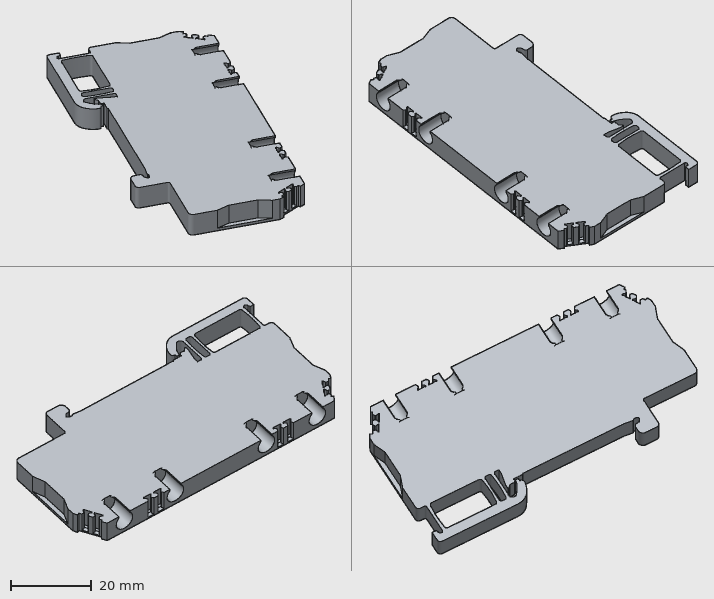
import cadquery as cq
import math

LENGTH = 80.0
HEIGHT = 42.3
THICKNESS = 6.1

HOUSING_BOTTOM = 10.9
RAIL_SEAT = 7.0
RAIL_LIP = 6.8
TOP_CORNER = (4.6, HEIGHT)
SHOULDER = [(3.8, 41.0), (4.3, 40.6)]
SHOULDER_FOOT = [(1.2, 35.3), (0.6, 35.6), (0, 34.4)]

GROOVE_MOUTH = 1.8
GROOVE_WAIST = 1.1
GROOVE_FOOT = 2.2
GROOVE_NECK_DEPTH = 0.6
GROOVE_WAIST_DEPTH = 0.9
GROOVE_FLARE_DEPTH = 1.4
GROOVE_DEPTH = 1.7
TOP_PITCH = 3.1
SLOPE_PITCH = 3.0
GROOVE_FLOOR = 0.8
GROOVE_SILL = 0.5
TOP_GROOVES_X = 19.8
GROOVE_RAISE = 0.1
SLOPE_ANGLE = 60

CHANNELS_X = (10.0, 25.8)
CHANNEL_MOUTH = 3.4
CHANNEL_RADIUS = 2.6
CHANNEL_LENGTH = 7.0
BORE_LENGTH = 7.3
CHANNEL_END_RISE = 1.1
CHANNEL_LIP = 0.5

RECESS_DEPTH = 1.3
RECESS_FLOOR = 0.8
RECESS_TOP = HEIGHT - 9.9
RECESS_BOTTOM = HEIGHT - 24.2
RECESS_INNER_TOP = HEIGHT - 13.2
RECESS_INNER_BOTTOM = HEIGHT - 20.8

OUTER_RADIUS = 1.0
END_RADIUS = 1.2
INNER_RADIUS = 0.5

FOOT_TOP = 2.7
WINDOW_RADIUS = 0.6
HOOK_GAP_LEFT = 21.8
WEB_LEFT = 2.5

HOOK_OUTER = 64.2
HOOK_INNER = 58.6
HOOK_BOTTOM = 2.2


def mirror_x(points):
    """Reflect points about the middle of the length, keeping the outline direction."""
    return [(LENGTH - x, y) for x, y in reversed(points)]


def prism(points, floor=0.0):
    """Upright block over an outline, from the floor height to the top face."""
    return cq.Workplane("XY").workplane(offset=floor).polyline(points).close().extrude(THICKNESS - floor)


def round_corners(solid, corners, radius):
    """Fillet the upright edges standing at the given corners."""
    reach = 0.04
    for x, y in corners:
        box = cq.selectors.BoxSelector((x - reach, y - reach, -0.8), (x + reach, y + reach, THICKNESS + 0.8))
        solid = solid.edges("|Z").edges(box).fillet(radius)
    return solid


def both_ends(cutter):
    """Add the mirror image of a cutter at the opposite end."""
    return cutter.union(cutter.mirror("YZ", (LENGTH / 2, 0, 0)))


def housing():
    """Main plate with the latch nose, rail seat and fixed rail hook."""
    upper_left = [(0, HOUSING_BOTTOM)] + SHOULDER_FOOT[::-1] + SHOULDER[::-1] + [TOP_CORNER]
    latch = [
        (23.2, HOUSING_BOTTOM),
        (23.2, 9.6),
        (22.5, 6.2),
        (22.5, 5.1),
        (22.8, 5.1),
        (23.5, 5.8),
        (24.7, 5.8),
        (25.1, 6.2),
        (25.1, RAIL_LIP),
        (27.6, RAIL_LIP),
        (27.8, RAIL_SEAT),
    ]
    upper_right = mirror_x(upper_left)[:-1]
    lower_right = [(LENGTH, HOUSING_BOTTOM)]
    body = (
        cq.Workplane("XY")
        .polyline(upper_left + upper_right + lower_right + [(HOOK_OUTER, HOUSING_BOTTOM)])
        .lineTo(HOOK_OUTER, HOOK_BOTTOM)
        .lineTo(59.8, HOOK_BOTTOM)
        .threePointArc((59.0, 2.6), (HOOK_INNER, 3.4))
        .lineTo(HOOK_INNER, 5.0)
        .threePointArc((58.9, 5.4), (59.5, 5.6))
        .threePointArc((60.2, 5.8), (60.6, 6.4))
        .threePointArc((60.5, 6.9), (60.0, RAIL_SEAT))
        .lineTo(59.4, RAIL_SEAT)
        .lineTo(59.0, RAIL_LIP)
        .lineTo(58.5, RAIL_LIP)
        .lineTo(56.6, RAIL_SEAT)
        .polyline(latch[::-1], includeCurrent=True)
        .close()
        .extrude(THICKNESS)
    )
    body = round_corners(body, [(0, HOUSING_BOTTOM), (HOOK_OUTER, HOOK_BOTTOM)], OUTER_RADIUS)
    body = round_corners(body, [(LENGTH, HOUSING_BOTTOM)], END_RADIUS)
    return round_corners(body, [(HOOK_OUTER, HOUSING_BOTTOM)], INNER_RADIUS)


def clip():
    """Sprung foot with the upturned rail hook, before its windows are cut."""
    foot = (
        cq.Workplane("XY")
        .moveTo(0, 0)
        .lineTo(0, 3.4)
        .lineTo(1.1, 3.4)
        .lineTo(1.4, 2.9)
        .threePointArc((1.9, 2.2), (WEB_LEFT, 2.6))
        .lineTo(WEB_LEFT, HOUSING_BOTTOM)
        .lineTo(HOOK_GAP_LEFT, HOUSING_BOTTOM)
        .lineTo(HOOK_GAP_LEFT, 3.2)
        .threePointArc((22.6, 2.3), (23.6, 2.9))
        .threePointArc((24.6, 4.2), (25.3, 5.9))
        .lineTo(25.3, 6.3)
        .lineTo(26.2, 6.3)
        .lineTo(26.2, 5.6)
        .threePointArc((26.8, 5.4), (27.0, 4.9))
        .threePointArc((26.9, 3.7), (26.2, 2.2))
        .threePointArc((24.7, 0.6), (22.6, 0))
        .close()
        .extrude(THICKNESS)
    )
    return round_corners(foot, [(0, 0)], OUTER_RADIUS)


def window(left, right, left_bow, right_bow):
    """Opening between the spring webs; a bow pushes a side outwards at mid height."""
    middle = (FOOT_TOP + HOUSING_BOTTOM) / 2
    cutter = cq.Workplane("XY").moveTo(left, FOOT_TOP).lineTo(right, FOOT_TOP)
    cutter = cutter.threePointArc((right + right_bow, middle), (right, HOUSING_BOTTOM))
    cutter = cutter.lineTo(left, HOUSING_BOTTOM)
    if left_bow:
        cutter = cutter.threePointArc((left - left_bow, middle), (left, FOOT_TOP))
    return cutter.close().extrude(THICKNESS).edges("|Z").fillet(WINDOW_RADIUS)


def symmetric(half_widths):
    """Outline symmetric about X = 0, from (half width, depth below the edge) pairs."""
    right = [(half, -depth) for half, depth in half_widths]
    left = [(-half, -depth) for half, depth in reversed(half_widths)]
    return right + left


def marker_groove():
    """Dovetail cutter entering from the edge y = 0 towards -Y."""
    waist = GROOVE_WAIST / 2
    foot = GROOVE_FOOT / 2
    neck = symmetric([(GROOVE_MOUTH / 2, 0), (waist, GROOVE_NECK_DEPTH), (waist, GROOVE_WAIST_DEPTH)])
    dovetail = symmetric([(waist, GROOVE_WAIST_DEPTH), (foot, GROOVE_FLARE_DEPTH), (foot, GROOVE_DEPTH)])
    sloped_floor = (
        cq.Workplane("YZ")
        .polyline([(0, GROOVE_SILL), (-GROOVE_WAIST_DEPTH, GROOVE_FLOOR), (-GROOVE_WAIST_DEPTH, 0), (0, 0)])
        .close()
        .extrude(GROOVE_MOUTH, both=True)
    )
    return prism(dovetail, GROOVE_FLOOR).union(prism(neck).cut(sloped_floor))


def groove_pair(pitch):
    """Two marker grooves side by side, centred on X = 0."""
    groove = marker_groove()
    return groove.translate((-pitch / 2, 0, 0)).union(groove.translate((pitch / 2, 0, 0)))


def marker_grooves():
    """One pair on the top edge and one on the sloped face, at both ends."""
    slope_x = (SHOULDER[-1][0] + SHOULDER_FOOT[0][0]) / 2
    slope_y = (SHOULDER[-1][1] + SHOULDER_FOOT[0][1]) / 2 + GROOVE_RAISE
    on_top = groove_pair(TOP_PITCH).translate((TOP_GROOVES_X, HEIGHT, 0))
    on_slope = groove_pair(SLOPE_PITCH).rotate((0, 0, 0), (0, 0, 1), SLOPE_ANGLE)
    on_slope = on_slope.translate((slope_x, slope_y, 0))
    return both_ends(on_top.union(on_slope))


def entry_channels():
    """Channels open to the top edge and the upper face."""
    half_mouth = CHANNEL_MOUTH / 2
    axis_depth = CHANNEL_LIP + math.sqrt(CHANNEL_RADIUS**2 - half_mouth**2)
    axis_height = THICKNESS - axis_depth
    end_y = HEIGHT - CHANNEL_LENGTH
    outline = (
        cq.Workplane("XY")
        .moveTo(-half_mouth, HEIGHT)
        .lineTo(-half_mouth, end_y + CHANNEL_END_RISE)
        .threePointArc((0, end_y), (half_mouth, end_y + CHANNEL_END_RISE))
        .lineTo(half_mouth, HEIGHT)
        .close()
    )
    mouth = outline.extrude(axis_depth).translate((0, 0, axis_height))
    bore = cq.Workplane("XZ", origin=(0, HEIGHT, axis_height)).circle(CHANNEL_RADIUS).extrude(BORE_LENGTH)
    channel = mouth.union(bore)
    cutters = cq.Workplane("XY")
    for x in CHANNELS_X:
        cutters = cutters.union(channel.translate((x, 0, 0)))
    return both_ends(cutters)


def end_recesses():
    """Tapered recesses, open to the upper face."""
    outline = [
        (0, RECESS_TOP),
        (RECESS_DEPTH, RECESS_INNER_TOP),
        (RECESS_DEPTH, RECESS_INNER_BOTTOM),
        (0, RECESS_BOTTOM),
    ]
    return both_ends(prism(outline, RECESS_FLOOR))


result = housing().union(clip())
result = round_corners(result, [(WEB_LEFT, HOUSING_BOTTOM), (HOOK_GAP_LEFT, HOUSING_BOTTOM)], INNER_RADIUS)
result = result.cut(window(left=3.5, right=18.1, left_bow=0.2, right_bow=0.3))
result = result.cut(window(left=19.0, right=20.8, left_bow=0, right_bow=0.2))
result = result.cut(marker_grooves()).cut(entry_channels()).cut(end_recesses())